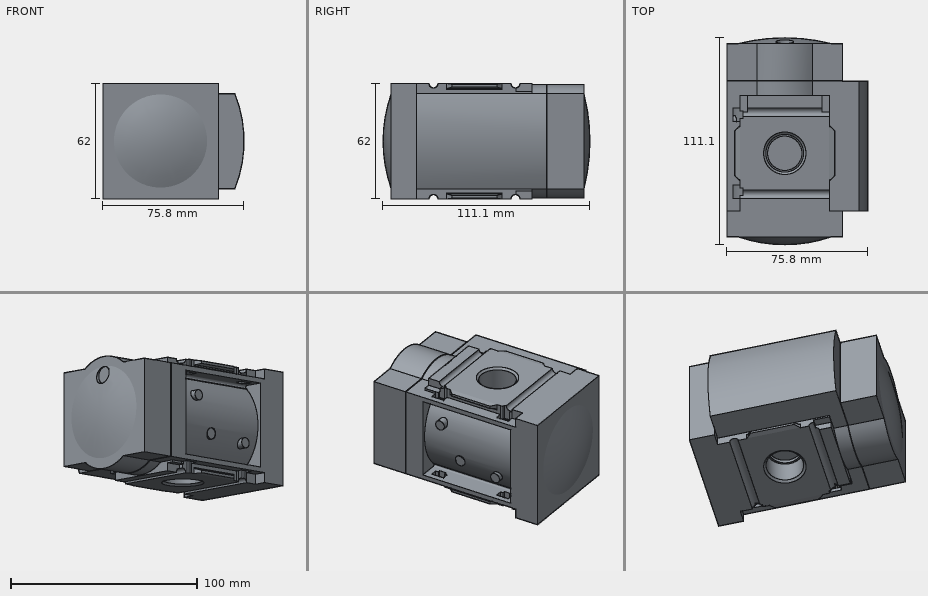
import cadquery as cq
import math


total_length = 111.1
total_width = 75.8

body_side = 62.0
half_body = body_side / 2
front_y = -44.9
middle_y = half_body
back_y = 58.9
shoulder_z = 25.5
port_block_half_x = 24.0

dome_diameter = 50.0
front_dome_height = 4.2
back_dome_height = total_length + front_y - front_dome_height - back_y
dome_hole_diameter = 9.4
dome_hole_z = 20.2
dome_hole_floor_y = 58.3

hump_half_x = 14.8
hump_top_z = 30.5

cover_flat_x = 39.8
cover_tip_x = total_width - half_body
cover_back_y = 38.8

joint_width = 0.2
joint_depth = 0.2

seat_inner_x = 20.1
seat_front_y = 22.2
seat_z = 26.7

groove_y = 22.0
groove_radius = 2.3

port_diameter = 20.2
port_mouth_diameter = 22.8
port_mouth_depth = 1.1
port_depth = 14.4
port_end_diameter = 18.4
port_end_depth = 16.7

wing_tip_x = 26.9
wing_root_half_y = 14.9
wing_tip_half_y = 12.0
wing_nose_round = 0.1
wing_top_drop = 0.4
wing_nose_drop = 1.2
wing_under_drop = 1.9
wing_fillet_drop = 2.7
wing_root_drop = 3.3
wing_fillet_width = 0.3
wing_overlap = 1.1

window_half_y = 27.9
window_half_z = 22.9
window_floor_x = -20.5
bowl_radius = 29.2
relief_radius = 0.9
relief_z = window_half_z - relief_radius

pin_diameter = 5.5
pin_end_x = -30.2
pin_y = 17.4
pin_z = 10.9
spot_diameter = 6.1
spot_x = -28.1
spot_y = 6.0
spot_z = -8.5

slot_centre_y = 20.5
slot_outer_x = -27.7
slot_step_x = -23.9
slot_inner_x = -22.4
slot_wide = 7.2
slot_narrow = 4.0


def block(x_range, y_range, z_range):
    """Box between the given limits."""
    (x0, x1), (y0, y1), (z0, z1) = x_range, y_range, z_range
    return cq.Workplane("XY").box(x1 - x0, y1 - y0, z1 - z0, centered=False).translate((x0, y0, z0))


def extrude_y(profile, y0, y1):
    """Extrude an XZ profile from y0 to y1."""
    return profile.extrude(-(y1 - y0)).translate((0, y0, 0))


def rod_y(x, z, radius, y0, y1):
    """Round bar along Y."""
    return extrude_y(cq.Workplane("XZ").center(x, z).circle(radius), y0, y1)


def rod_x(y, z, diameter, x0, x1):
    """Round bar along X."""
    return cq.Workplane("YZ").center(y, z).circle(diameter / 2).extrude(x1 - x0).translate((x0, 0, 0))


def both_z(shape):
    """The shape together with its mirror image about the XY plane."""
    return shape.union(shape.mirror("XY"))


def dome(face_y, height, direction):
    """Spherical cap on the end face at face_y, bulging along +Y or -Y."""
    radius = dome_diameter / 2
    sphere_radius = (radius**2 + height**2) / (2 * height)
    shoulder_x = radius / 2
    shoulder_rise = height - sphere_radius + math.sqrt(sphere_radius**2 - shoulder_x**2)
    return (
        cq.Workplane("XY")
        .moveTo(0, face_y)
        .lineTo(radius, face_y)
        .threePointArc((shoulder_x, face_y + direction * shoulder_rise), (0, face_y + direction * height))
        .close()
        .revolve(360, (0, 0, 0), (0, 1, 0))
    )


def humps(inset=0):
    """Rounded humps above and below the rear section, optionally lowered by an inset."""
    base_z = shoulder_z - inset
    profile = (
        cq.Workplane("XZ")
        .moveTo(-hump_half_x, 0)
        .lineTo(-hump_half_x, base_z)
        .threePointArc((0, hump_top_z - inset), (hump_half_x, base_z))
        .lineTo(hump_half_x, 0)
        .close()
    )
    return both_z(extrude_y(profile, middle_y, back_y))


def outer_body():
    """End block, shouldered core, port block, humps, cover and domes."""
    across = (-half_body, half_body)
    end_block = block(across, (front_y, -middle_y), across)
    core = block(across, (-middle_y, back_y), (-shoulder_z, shoulder_z))
    port_block = block((-port_block_half_x, port_block_half_x), (-middle_y, middle_y), across)
    cover = extrude_y(
        cq.Workplane("XZ")
        .moveTo(port_block_half_x, -shoulder_z)
        .lineTo(cover_flat_x, -shoulder_z)
        .threePointArc((cover_tip_x, 0), (cover_flat_x, shoulder_z))
        .lineTo(port_block_half_x, shoulder_z)
        .close(),
        -middle_y,
        cover_back_y,
    )
    solid = end_block.union(core).union(port_block).union(humps()).union(cover)
    solid = solid.union(dome(front_y, front_dome_height, -1))
    return solid.union(dome(back_y, back_dome_height, 1))


def joint_groove():
    """Shallow groove around the core and its humps, just behind the cover."""
    joint_y = (cover_back_y, cover_back_y + joint_width)
    inner_x = half_body - joint_depth
    inner_z = shoulder_z - joint_depth
    ring = block((-half_body, half_body), joint_y, (-half_body, half_body))
    inside = block((-inner_x, inner_x), joint_y, (-inner_z, inner_z))
    return ring.cut(inside).cut(humps(joint_depth))


def dome_hole():
    """Blind hole near the top of the rear dome."""
    return rod_y(0, dome_hole_z, dome_hole_diameter / 2, dome_hole_floor_y, back_y + back_dome_height)


def wings():
    """Tapered dovetail ridges on both sides of the port block."""
    buried_x = port_block_half_x - wing_overlap
    nose_edge_x = wing_tip_x - wing_nose_round
    section = extrude_y(
        cq.Workplane("XZ")
        .moveTo(buried_x, half_body)
        .lineTo(port_block_half_x, half_body)
        .lineTo(nose_edge_x, half_body - wing_top_drop)
        .lineTo(wing_tip_x, half_body - wing_nose_drop)
        .lineTo(nose_edge_x, half_body - wing_under_drop)
        .lineTo(port_block_half_x + wing_fillet_width, half_body - wing_fillet_drop)
        .lineTo(port_block_half_x, half_body - wing_root_drop)
        .lineTo(buried_x, half_body - wing_root_drop)
        .close(),
        -wing_root_half_y,
        wing_root_half_y,
    )
    plan = (
        cq.Workplane("XY")
        .polyline([
            (buried_x, -wing_root_half_y),
            (port_block_half_x, -wing_root_half_y),
            (wing_tip_x, -wing_tip_half_y),
            (wing_tip_x, wing_tip_half_y),
            (port_block_half_x, wing_root_half_y),
            (buried_x, wing_root_half_y),
        ])
        .close()
        .extrude(half_body)
    )
    wing = section.intersect(plan)
    return both_z(wing.union(wing.mirror("YZ")))


def corner_seats():
    """Lowered seats at the rear corners of the port block."""
    seat = block((seat_inner_x, half_body), (seat_front_y, middle_y), (seat_z, half_body))
    return both_z(seat.union(seat.mirror("YZ")))


def cross_grooves():
    """Half-round grooves across the port faces, ahead of and behind each port."""
    grooves = cq.Workplane("XY")
    for y in (-groove_y, groove_y):
        groove = rod_x(y, half_body, 2 * groove_radius, -port_block_half_x, port_block_half_x)
        grooves = grooves.union(groove)
    return both_z(grooves)


def ports():
    """Blind stepped ports with a tapered mouth, top and bottom."""
    port = (
        cq.Workplane("XZ")
        .polyline([
            (0, half_body),
            (port_mouth_diameter / 2, half_body),
            (port_diameter / 2, half_body - port_mouth_depth),
            (port_diameter / 2, half_body - port_depth),
            (port_end_diameter / 2, half_body - port_depth),
            (port_end_diameter / 2, half_body - port_end_depth),
            (0, half_body - port_end_depth),
        ])
        .close()
        .revolve(360, (0, 0, 0), (0, 1, 0))
    )
    return both_z(port)


def window():
    """Side window around the bowl, with round reliefs along its inner corners."""
    y_range = (-window_half_y, window_half_y)
    opening = block((-half_body, window_floor_x), y_range, (-window_half_z, window_half_z))
    opening = opening.union(both_z(rod_y(window_floor_x, relief_z, relief_radius, *y_range)))
    return opening.cut(rod_y(0, 0, bowl_radius, *y_range))


def slots():
    """Stepped slots from the window out through the shoulders."""
    z_range = (relief_z, half_body)
    openings = cq.Workplane("XY")
    for y in (-slot_centre_y, slot_centre_y):
        wide_y = (y - slot_wide / 2, y + slot_wide / 2)
        narrow_y = (y - slot_narrow / 2, y + slot_narrow / 2)
        openings = openings.union(block((slot_outer_x, slot_step_x), wide_y, z_range))
        openings = openings.union(block((slot_outer_x, slot_inner_x), narrow_y, z_range))
    return both_z(openings.cut(rod_y(0, 0, bowl_radius, -middle_y, middle_y)))


def pins():
    """Two locating pins standing on the bowl, diagonally opposed."""
    upper = rod_x(pin_y, pin_z, pin_diameter, pin_end_x, window_floor_x)
    lower = rod_x(-pin_y, -pin_z, pin_diameter, pin_end_x, window_floor_x)
    return upper.union(lower)


def flat_spot():
    """Round land whose flat end face stands at spot_x."""
    return rod_x(spot_y, spot_z, spot_diameter, spot_x, window_floor_x)


def flat_spot_clearance():
    """Space in front of the flat spot, where the bowl would stand above it."""
    return rod_x(spot_y, spot_z, spot_diameter, -half_body, spot_x)


result = outer_body().union(wings())
cutters = (
    joint_groove(),
    corner_seats(),
    cross_grooves(),
    ports(),
    window(),
    slots(),
    dome_hole(),
    flat_spot_clearance(),
)
for cutter in cutters:
    result = result.cut(cutter)
result = result.union(flat_spot()).union(pins())